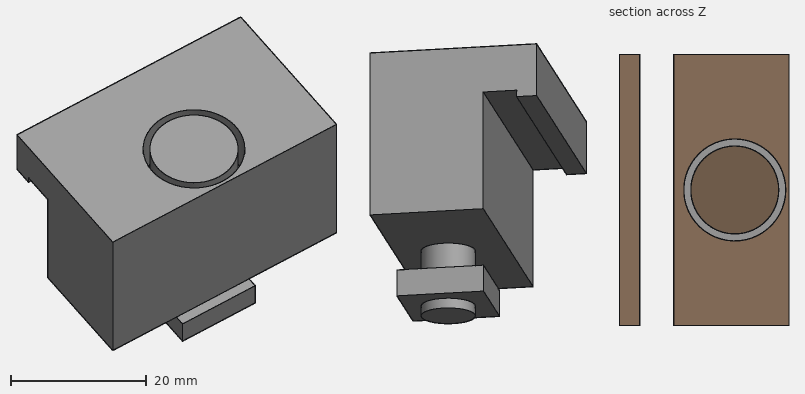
import cadquery as cq

clamp_width = 25.0
clamp_length = 40.0
clamp_height = 25.0
jaw_overhang = 8.0
jaw_thickness = 7.0
lip_width = 3.0
lip_drop = 1.0

screw_x = 17.0
screw_length = 35.0
shank_diameter = 8.0
head_diameter = 13.0
head_height = 8.0
counterbore_diameter = 15.0
nut_side = 13.0
nut_thickness = 4.0
shank_end_below_nut = 1.5

top_z = clamp_height
head_seat_z = top_z - head_height
screw_end_z = top_z - screw_length
nut_bottom_z = screw_end_z + shank_end_below_nut


def cylinder(diameter, bottom_z, height):
    """Upright cylinder on the screw axis."""
    return (
        cq.Workplane("XY", origin=(screw_x, 0, bottom_z))
        .circle(diameter / 2)
        .extrude(height)
    )


def make_clamp():
    """Clamp block with a counterbored hole for the screw."""
    jaw_z = top_z - jaw_thickness
    lip_z = jaw_z - lip_drop
    block = (
        cq.Workplane("XZ")
        .moveTo(0, top_z)
        .lineTo(clamp_width, top_z)
        .lineTo(clamp_width, 0)
        .lineTo(jaw_overhang, 0)
        .lineTo(jaw_overhang, jaw_z)
        .lineTo(lip_width, jaw_z)
        .lineTo(lip_width, lip_z)
        .lineTo(0, lip_z)
        .close()
        .extrude(clamp_length / 2, both=True)
    )
    shank_hole = cylinder(shank_diameter, 0, clamp_height)
    counterbore = cylinder(counterbore_diameter, head_seat_z, head_height)
    return block.cut(shank_hole).cut(counterbore)


def make_screw():
    """Screw and its square nut as one solid, head flush with the clamp top."""
    head = cylinder(head_diameter, head_seat_z, head_height)
    shank = cylinder(shank_diameter, screw_end_z, screw_length)
    nut = (
        cq.Workplane("XY", origin=(screw_x, 0, nut_bottom_z))
        .rect(nut_side, nut_side)
        .extrude(nut_thickness)
    )
    return head.union(shank).union(nut)


clamp = make_clamp()
screw = make_screw()

result = cq.Compound.makeCompound([clamp.val(), screw.val()])